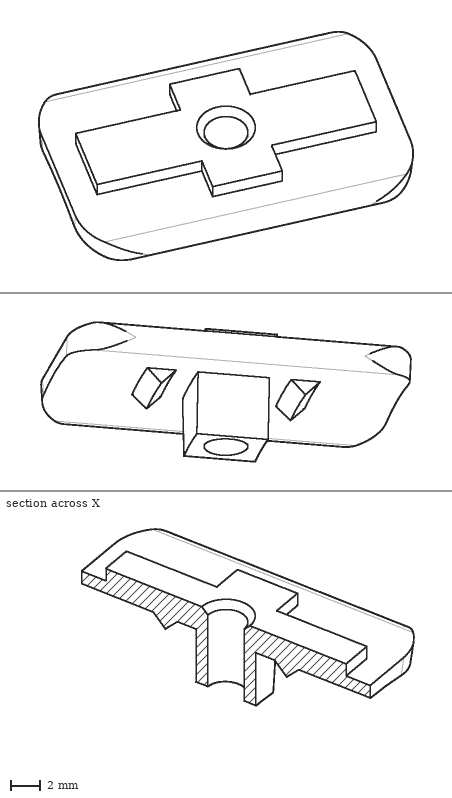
import cadquery as cq
import math

length = 24.0
width = 15.62
height = 6.6

cross_height = 1.0
bar_width = 5.0
cross_length = 20.0
cross_width = 10.0

edge_radius = 0.95
middle_thickness = 1.08
corner_radius = 4.0
touch_gap = 0.0002
edge_center_x = width / 2 - edge_radius
edge_center_z = -edge_radius
rise = middle_thickness - edge_radius
saddle_radius = (edge_center_x**2 + rise**2 - edge_radius**2) / (2 * (edge_radius - rise))
axis_z = -middle_thickness - saddle_radius
edge_tilt = math.atan2(edge_center_x, edge_center_z - axis_z)

half_angle = math.asin(bar_width / 2 / saddle_radius)
block_length = 5.0
block_bottom_radius = (cross_height - height - axis_z) / math.cos(half_angle)
ridge_depth = 1.0
ridge_y = 5.05

hole_diameter = 3.0
sink_diameter = 4.0
sink_angle = 90


def on_arc(radius, angle):
    """Point in the XZ section, with the angle measured from vertical about the saddle axis."""
    return (radius * math.sin(angle), axis_z + radius * math.cos(angle))


def extrude_centered(section, depth):
    """Extrude a section equally to both sides of its plane."""
    return section.extrude(depth).translate(section.plane.zDir * (-depth / 2))


def make_plate():
    bottom_x, bottom_z = on_arc(saddle_radius, edge_tilt)
    side = (width / 2, edge_center_z)
    lower_angle = -(edge_tilt + math.pi / 2) / 2
    lower = (
        edge_center_x + edge_radius * math.cos(lower_angle),
        edge_center_z + edge_radius * math.sin(lower_angle),
    )
    upper_offset = edge_radius * math.sqrt(0.5)
    upper = (edge_center_x + upper_offset, edge_center_z + upper_offset)
    section = (
        cq.Workplane("XZ")
        .moveTo(-edge_center_x, 0)
        .lineTo(edge_center_x, 0)
        .threePointArc(upper, side)
        .threePointArc(lower, (bottom_x, bottom_z))
        .threePointArc((0, -middle_thickness), (-bottom_x, bottom_z))
        .threePointArc((-lower[0], lower[1]), (-side[0], side[1]))
        .threePointArc((-upper[0], upper[1]), (-edge_center_x, 0))
        .close()
    )
    return extrude_centered(section, length)


def make_corner_cutter(side, end):
    """Waste outside one rounded corner; the rounding axis is square to the tilted long edge."""
    normal = (side * math.sin(edge_tilt), 0, math.cos(edge_tilt))
    along = (math.cos(edge_tilt), 0, -side * math.sin(edge_tilt))
    plane = cq.Plane((side * edge_center_x, 0, edge_center_z), xDir=along, normal=normal)
    center_x = edge_radius + touch_gap - corner_radius
    center_y = length / 2 + touch_gap - corner_radius
    diagonal = corner_radius * math.sqrt(0.5)
    far_x = center_x + 2 * corner_radius
    far_y = center_y + 2 * corner_radius
    outline = (
        cq.Workplane(plane)
        .moveTo(side * center_x, end * (center_y + corner_radius))
        .threePointArc(
            (side * (center_x + diagonal), end * (center_y + diagonal)),
            (side * (center_x + corner_radius), end * center_y),
        )
        .lineTo(side * far_x, end * center_y)
        .lineTo(side * far_x, end * far_y)
        .lineTo(side * center_x, end * far_y)
        .close()
    )
    return extrude_centered(outline, width)


def make_sector(inner_radius, depth):
    """Sector reaching up into the plate, so that it fuses with the underside."""
    outer_radius = saddle_radius + middle_thickness / 2
    section = (
        cq.Workplane("XZ")
        .moveTo(*on_arc(inner_radius, -half_angle))
        .threePointArc(on_arc(inner_radius, 0), on_arc(inner_radius, half_angle))
        .lineTo(*on_arc(outer_radius, half_angle))
        .threePointArc(on_arc(outer_radius, 0), on_arc(outer_radius, -half_angle))
        .close()
    )
    return extrude_centered(section, depth)


def make_ridge(y):
    """V-shaped ridge with 45 degree flanks and its tip following the saddle curve."""
    tip_radius = saddle_radius - ridge_depth
    top_radius = saddle_radius + middle_thickness / 2
    half_base = top_radius - tip_radius
    ring = (
        cq.Workplane("XY")
        .moveTo(tip_radius, y)
        .lineTo(top_radius, y + half_base)
        .lineTo(top_radius, y - half_base)
        .close()
        .revolve(360, (0, 0), (0, 1))
        .translate((0, 0, axis_z))
    )
    sector_depth = 2 * (ridge_y + half_base)
    return ring.intersect(make_sector(tip_radius - ridge_depth, sector_depth))


plate = make_plate()
for side in (-1, 1):
    for end in (-1, 1):
        plate = plate.cut(make_corner_cutter(side, end))

cross = cq.Workplane("XY").rect(bar_width, cross_length).extrude(cross_height)
cross = cross.union(cq.Workplane("XY").rect(cross_width, bar_width).extrude(cross_height))

result = plate.union(cross).union(make_sector(block_bottom_radius, block_length))
for y in (-ridge_y, ridge_y):
    result = result.union(make_ridge(y))

result = (
    result.faces(">Z")
    .workplane(origin=(0, 0, cross_height))
    .cskHole(hole_diameter, sink_diameter, sink_angle)
)